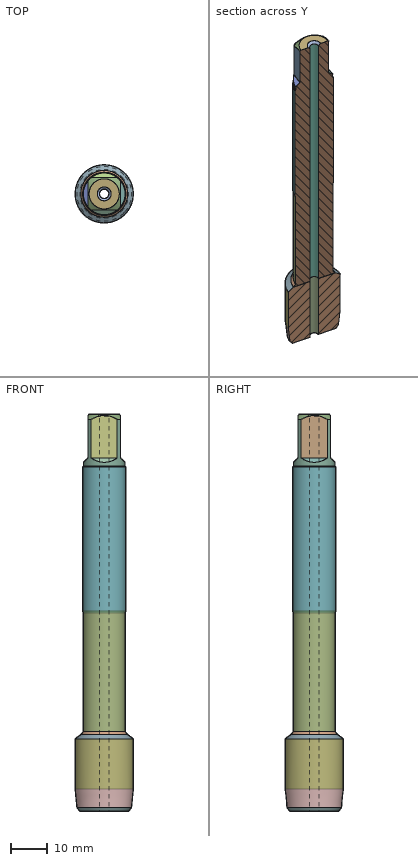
import cadquery as cq

total_length = 110.0
through_hole_diameter = 2.5

head_diameter = 16.2
head_cylinder_top = 20.1
head_length = 21.3
head_end_diameter = 13.0
lead_length = 6.2
lead_diameter = 15.2
tip_diameter = 13.5
tip_chamfer_height = 1.1

neck_diameter = 11.7
neck_flare_top = 22.1
shank_start = 55.0
shank_diameter = 12.0
shank_step_height = 0.5
shank_end = 95.7
shank_end_chamfer_height = 0.3

drive_diameter = 11.5
drive_across_flats = 9.0
drive_flat_count = 4
flat_start = 97.9
runout_length = 1.2
drive_top_diameter = 8.4
drive_chamfer_height = 1.4
countersink_diameter = 3.8


def revolved(points):
    """Revolve a (radius, z) outline around the Z axis."""
    return cq.Workplane("XZ").polyline(points).close().revolve(360, (0, 0, 0), (0, 1, 0))


def through_hole():
    return cq.Workplane("XY").circle(through_hole_diameter / 2).extrude(total_length)


def make_head():
    blank = revolved([
        (0, 0),
        (tip_diameter / 2, 0),
        (lead_diameter / 2, tip_chamfer_height),
        (head_diameter / 2, lead_length),
        (head_diameter / 2, head_cylinder_top),
        (head_end_diameter / 2, head_length),
        (0, head_length),
    ])
    return blank.cut(through_hole())


def make_shank_blank():
    return revolved([
        (0, head_length),
        (head_end_diameter / 2, head_length),
        (neck_diameter / 2, neck_flare_top),
        (neck_diameter / 2, shank_start),
        (shank_diameter / 2, shank_start + shank_step_height),
        (shank_diameter / 2, shank_end - shank_end_chamfer_height),
        (drive_diameter / 2, shank_end),
        (drive_diameter / 2, total_length - drive_chamfer_height),
        (drive_top_diameter / 2, total_length),
        (0, total_length),
    ])


def flat_cutter():
    """Material beside one drive flat, with a sloping runout at its lower end."""
    flat_offset = drive_across_flats / 2
    outside = head_diameter / 2
    runout_end = flat_start - runout_length
    profile = [
        (flat_offset, total_length),
        (flat_offset, flat_start),
        (drive_diameter / 2, runout_end),
        (outside, runout_end),
        (outside, total_length),
    ]
    return cq.Workplane("XZ").polyline(profile).close().extrude(outside, both=True)


def countersink():
    depth = (countersink_diameter - through_hole_diameter) / 2
    return revolved([
        (0, total_length),
        (countersink_diameter / 2, total_length),
        (through_hole_diameter / 2, total_length - depth),
        (0, total_length - depth),
    ])


def make_shank():
    body = make_shank_blank()
    for side in range(drive_flat_count):
        angle = side * 360 / drive_flat_count
        body = body.cut(flat_cutter().rotate((0, 0, 0), (0, 0, 1), angle))
    return body.cut(through_hole()).cut(countersink())


head = make_head()
shank = make_shank()
result = cq.Compound.makeCompound([head.val(), shank.val()])